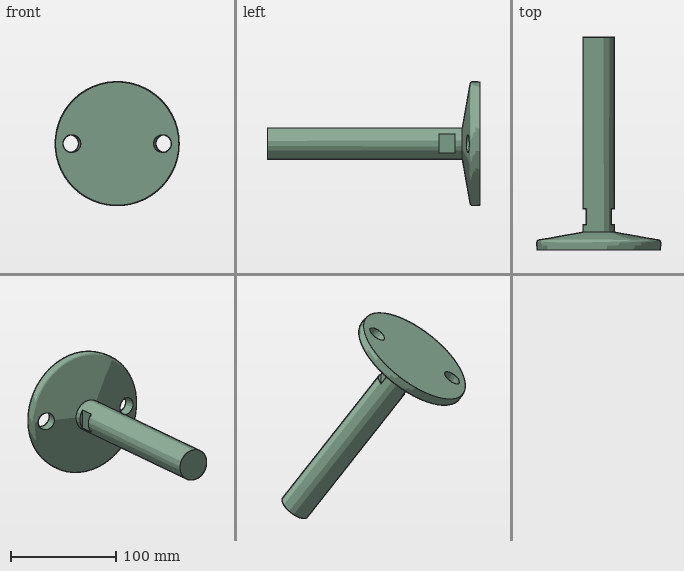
import cadquery as cq
import math

TOTAL_LENGTH = 202.0
STEM_DIAMETER = 30.0
BASE_DIAMETER = 118.0
SOLE_DIAMETER = 117.0
TAPER_HEIGHT = 4.0
CONE_TOP = 17.0
CONE_ANGLE = 10.0
RIM_FILLET = 3.0

FLAT_START = 24.0
FLAT_LENGTH = 15.0
ACROSS_FLATS = 24.0

HOLE_DIAMETER = 16.5
HOLE_RADIAL_POSITION = 45.0

STEM_RADIUS = STEM_DIAMETER / 2
BASE_RADIUS = BASE_DIAMETER / 2
SLOPE = math.radians(CONE_ANGLE)


def cone_height(radius):
    """Height of the conical surface at a given distance from the axis."""
    return CONE_TOP - (radius - STEM_RADIUS) * math.tan(SLOPE)


def point_on_fillet(center, angle):
    """Point of the rim rounding at an angle measured from the radial direction."""
    return (
        center[0] + RIM_FILLET * math.cos(angle),
        center[1] + RIM_FILLET * math.sin(angle),
    )


def make_body():
    """Stem, conical base and rounded rim, revolved about the Y axis."""
    fillet_radius_position = BASE_RADIUS - RIM_FILLET
    fillet_height = cone_height(fillet_radius_position) - RIM_FILLET / math.cos(SLOPE)
    fillet_center = (fillet_radius_position, fillet_height)
    fillet_end_angle = math.pi / 2 - SLOPE
    return (
        cq.Workplane("XY")
        .moveTo(0, 0)
        .lineTo(SOLE_DIAMETER / 2, 0)
        .lineTo(BASE_RADIUS, TAPER_HEIGHT)
        .lineTo(BASE_RADIUS, fillet_height)
        .threePointArc(
            point_on_fillet(fillet_center, fillet_end_angle / 2),
            point_on_fillet(fillet_center, fillet_end_angle),
        )
        .lineTo(STEM_RADIUS, CONE_TOP)
        .lineTo(STEM_RADIUS, TOTAL_LENGTH)
        .lineTo(0, TOTAL_LENGTH)
        .close()
        .revolve(360, (0, 0), (0, 1))
    )


def make_flat_cutter(side):
    """Block that cuts one wrench flat into the stem; side is -1 or +1 along X."""
    return (
        cq.Workplane("XY")
        .box(STEM_DIAMETER, FLAT_LENGTH, STEM_DIAMETER)
        .translate((
            side * (ACROSS_FLATS + STEM_DIAMETER) / 2,
            FLAT_START + FLAT_LENGTH / 2,
            0,
        ))
    )


def make_hole_cutter(side):
    """Cylinder square to the cone, through the base; side is -1 or +1 along X."""
    center = cq.Vector(side * HOLE_RADIAL_POSITION, cone_height(HOLE_RADIAL_POSITION), 0)
    axis = cq.Vector(side * math.sin(SLOPE), math.cos(SLOPE), 0)
    reach = 2 * CONE_TOP
    return cq.Workplane(
        cq.Solid.makeCylinder(HOLE_DIAMETER / 2, 2 * reach, center - axis * reach, axis)
    )


result = make_body()
for side in (-1, 1):
    result = result.cut(make_flat_cutter(side))
    result = result.cut(make_hole_cutter(side))